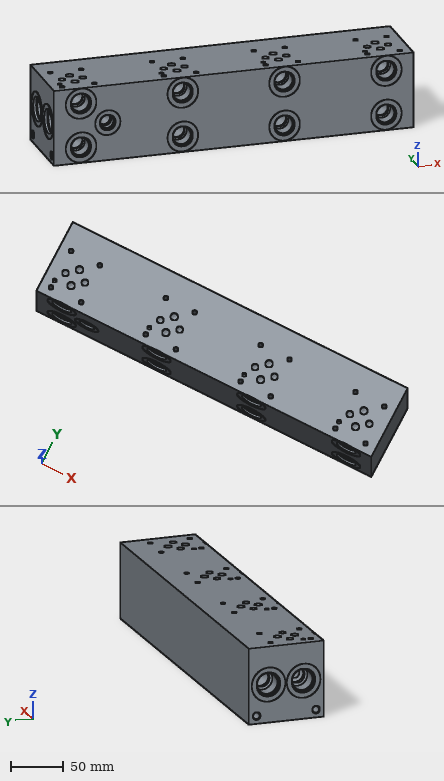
import cadquery as cq
import math

LENGTH = 358.8
SIDE = 76.0
MID_HEIGHT = SIDE / 2
DRILL_POINT_ANGLE = 118.0

STATION_COUNT = 4
STATION_PITCH = 101.5
FIRST_STATION_X = (LENGTH - (STATION_COUNT - 1) * STATION_PITCH) / 2
STATION_XS = [FIRST_STATION_X + i * STATION_PITCH for i in range(STATION_COUNT)]
PORT_A_Z = 15.8
PORT_B_Z = 60.3

GAUGE_PORT_X = 53.8

PRESSURE_PORT_Y = 20.5
TANK_PORT_Y = 56.0
GALLERY_DIAMETER = 9.5
GALLERY_DEPTH = 39.5

MOUNT_INSET = 8.0
MOUNT_DIAMETER = 6.5
MOUNT_MOUTH_DIAMETER = 8.0
MOUNT_DEPTH = 14.5

FRONT_BOLT_Y = 9.5
REAR_BOLT_OFFSET = 40.5
FRONT_BOLT_HALF_SPAN = 16.0
REAR_BOLT_HALF_SPAN = 15.5
BOLT_DIAMETER = 4.0
BOLT_MOUTH_DIAMETER = 4.5
BOLT_DEPTH = 14.5
PIN_OFFSET = 7.5
PIN_DIAMETER = 4.0
PIN_DEPTH = 5.5
SIDE_PASSAGE_OFFSET = 19.0
SIDE_PASSAGE_HALF_SPAN = 10.5
SIDE_PASSAGE_DIAMETER = 6.5
FRONT_PASSAGE_OFFSET = 10.5
REAR_PASSAGE_OFFSET = 28.0
CENTRE_PASSAGE_DIAMETER = 7.0
PASSAGE_DEPTH = 2.5

SPOTFACE_DEPTH = 0.55
CONE_DEPTH = 3.0
WORK_PORT = dict(
    spotface=30.5, cone_mouth=20.5, cone_end=19.0, bore=17.5, bore_depth=16.0,
    tap_drill=14.5, tap_depth=19.7,
)
END_PORT = dict(
    spotface=34.0, cone_mouth=24.0, cone_end=22.5, bore=20.5, bore_depth=18.0,
    tap_drill=15.8, tap_depth=23.3,
)
GAUGE_PORT = dict(
    spotface=25.0, cone_mouth=15.8, cone_end=14.5, bore=13.0, bore_depth=10.0,
    tap_drill=11.5, tap_depth=12.5,
)


def point_length(large_diameter, small_diameter=0.0):
    """Length of a drill-point cone that narrows between two diameters."""
    return (large_diameter - small_diameter) / 2 / math.tan(math.radians(DRILL_POINT_ANGLE / 2))


def drill(diameter, depth, mouth_diameter=None):
    """Cutter for a pointed blind hole going down from the origin, its mouth chamfered at 45 degrees."""
    mouth_diameter = mouth_diameter or diameter
    profile = cq.Workplane("XZ").lineTo(mouth_diameter / 2, 0)
    if mouth_diameter > diameter:
        profile = profile.lineTo(diameter / 2, -(mouth_diameter - diameter) / 2)
    profile = profile.lineTo(diameter / 2, -depth).lineTo(0, -depth - point_length(diameter))
    return profile.close().revolve(360, (0, 0, 0), (0, 1, 0))


def port(spotface, cone_mouth, cone_end, bore, bore_depth, tap_drill, tap_depth):
    """Cutter for a port going down from the origin: spotface, sealing cone, tapped bore, tap drill."""
    outline = [
        (0, 0),
        (spotface / 2, 0),
        (spotface / 2, -SPOTFACE_DEPTH),
        (cone_mouth / 2, -SPOTFACE_DEPTH),
        (cone_end / 2, -CONE_DEPTH),
        (bore / 2, -CONE_DEPTH - (cone_end - bore) / 2),
        (bore / 2, -bore_depth),
        (tap_drill / 2, -bore_depth - point_length(bore, tap_drill)),
        (tap_drill / 2, -tap_depth),
        (0, -tap_depth - point_length(tap_drill)),
    ]
    return cq.Workplane("XZ").polyline(outline).close().revolve(360, (0, 0, 0), (0, 1, 0))


def on_top(cutter, x, y):
    return cutter.translate((x, y, SIDE))


def on_front(cutter, x, z):
    return cutter.rotate((0, 0, 0), (1, 0, 0), 90).translate((x, 0, z))


def on_end(cutter, y, z):
    return cutter.rotate((0, 0, 0), (0, 1, 0), -90).translate((0, y, z))


def front_cutters():
    """A and B ports of every station, and the gauge port."""
    work_port = port(**WORK_PORT)
    cutters = [on_front(work_port, x, z) for x in STATION_XS for z in (PORT_A_Z, PORT_B_Z)]
    cutters.append(on_front(port(**GAUGE_PORT), GAUGE_PORT_X, MID_HEIGHT))
    return cutters


def end_cutters():
    """Pressure and tank ports, the pressure gallery and the two mounting holes."""
    end_port = port(**END_PORT)
    mount = drill(MOUNT_DIAMETER, MOUNT_DEPTH, MOUNT_MOUTH_DIAMETER)
    gallery = drill(GALLERY_DIAMETER, GALLERY_DEPTH)
    cutters = [on_end(end_port, y, MID_HEIGHT) for y in (PRESSURE_PORT_Y, TANK_PORT_Y)]
    cutters.append(on_end(gallery, PRESSURE_PORT_Y, MID_HEIGHT))
    cutters += [on_end(mount, y, MOUNT_INSET) for y in (MOUNT_INSET, SIDE - MOUNT_INSET)]
    return cutters


def interface_cutters(station_x):
    """Bolt holes, locating pin hole and oil passages of one valve interface."""
    bolt = drill(BOLT_DIAMETER, BOLT_DEPTH, BOLT_MOUTH_DIAMETER)
    pin = drill(PIN_DIAMETER, PIN_DEPTH)
    side_passage = drill(SIDE_PASSAGE_DIAMETER, PASSAGE_DEPTH)
    centre_passage = drill(CENTRE_PASSAGE_DIAMETER, PASSAGE_DEPTH)
    holes = [
        (pin, -FRONT_BOLT_HALF_SPAN, PIN_OFFSET),
        (centre_passage, 0, FRONT_PASSAGE_OFFSET),
        (centre_passage, 0, REAR_PASSAGE_OFFSET),
    ]
    for side in (-1, 1):
        holes += [
            (bolt, side * FRONT_BOLT_HALF_SPAN, 0),
            (bolt, side * REAR_BOLT_HALF_SPAN, REAR_BOLT_OFFSET),
            (side_passage, side * SIDE_PASSAGE_HALF_SPAN, SIDE_PASSAGE_OFFSET),
        ]
    return [on_top(hole, station_x + dx, FRONT_BOLT_Y + dy) for hole, dx, dy in holes]


cutters = front_cutters() + end_cutters()
for station_x in STATION_XS:
    cutters += interface_cutters(station_x)

block = cq.Workplane().box(LENGTH, SIDE, SIDE, centered=False)
for cutter in cutters:
    block = block.cut(cutter)
result = block.solids()